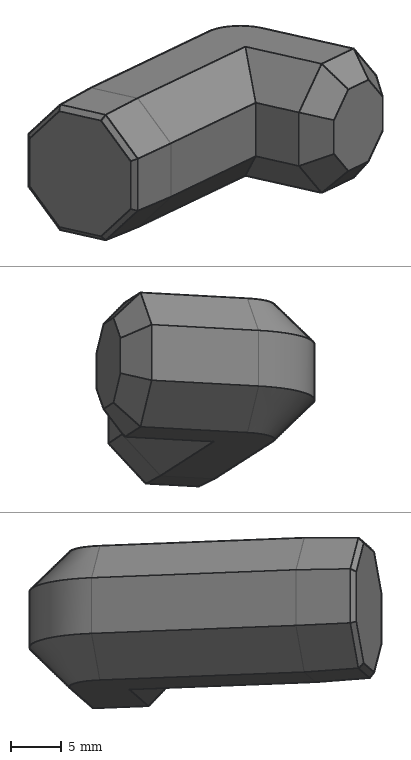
import cadquery as cq
import math

sides = 8
across_flats = 13.58
overall_x = 21.29
overall_y = 34.51
bend_radius = 7.76
short_end_chamfer = 2.5
tip_length = 6.0
tip_draft = 2.0
tip_chamfer = 0.5

half_side_angle = math.pi / sides
half_flats = across_flats / 2
octagon_side = across_flats * math.tan(half_side_angle)
octagon_chamfer = (across_flats - octagon_side) / 2
octagon_diameter = across_flats / math.cos(half_side_angle)
short_end_x = overall_x - half_flats
long_end_y = half_flats - overall_y
tip_start_y = long_end_y + tip_length


def make_elbow():
    """L-shaped octagonal bar: a thick plan outline beveled along its legs and bend."""
    arc_middle = bend_radius * (1 - math.sqrt(0.5))
    elbow = (
        cq.Workplane("XY", origin=(0, 0, -half_flats))
        .moveTo(-half_flats, tip_start_y)
        .lineTo(-half_flats, half_flats - bend_radius)
        .threePointArc(
            (-half_flats + arc_middle, half_flats - arc_middle),
            (-half_flats + bend_radius, half_flats),
        )
        .lineTo(short_end_x, half_flats)
        .lineTo(short_end_x, -half_flats)
        .lineTo(half_flats, -half_flats)
        .lineTo(half_flats, tip_start_y)
        .close()
        .extrude(across_flats)
    )
    leg_edges = elbow.faces("|Z").edges("not(<Y or >X)")
    return leg_edges.chamfer(octagon_chamfer)


def bevel_short_end(elbow):
    """Bevel all around the end face of the short leg."""
    return elbow.faces(">X").chamfer(short_end_chamfer)


def make_tip():
    """Drafted octagonal end of the long leg, beveled around its end face."""
    tip = (
        cq.Workplane("XZ", origin=(0, tip_start_y, 0))
        .transformed(rotate=(0, 0, math.degrees(half_side_angle)))
        .polygon(sides, octagon_diameter)
        .extrude(tip_length, taper=tip_draft)
    )
    return tip.faces("<Y").chamfer(tip_chamfer)


result = bevel_short_end(make_elbow()).union(make_tip())